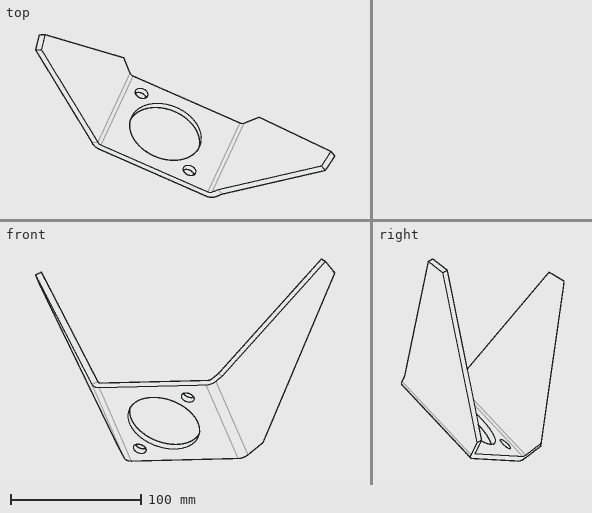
import cadquery as cq
import math

thickness = 5.0
inner_bend_radius = 3.7
outer_bend_radius = inner_bend_radius + thickness
bend_angle = 55

plate_length = 89.7
plate_width = 81.5
bore_diameter = 57.0
screw_hole_diameter = 10.1
bore_x = -4.1
screw_offset_x = 29.2
screw_offset_y = 27.4

wing_edge = plate_width / 2
corner_height = 15.6
tip_outer_across = -66.0
left_tip_inner_across = -52.7
left_tip_inner_height = 119.5
left_tip_outer_height = 115.7
right_tip_inner_across = -50.4
right_tip_inner_height = 127.5
right_tip_outer_height = 124.0
right_straight_height = 6.7

tilt_x = -44.0
tilt_y = -1.3
tilt_z = -23.7

sin_bend = math.sin(math.radians(bend_angle))
cos_bend = math.cos(math.radians(bend_angle))


def make_plate():
    """Flat plate with its outer face at Z = 0, a central bore and two diagonal screw holes."""
    plate = cq.Workplane("XY").box(plate_length, plate_width, thickness, centered=(True, True, False))
    bore = cq.Workplane("XY").center(bore_x, 0).circle(bore_diameter / 2).extrude(thickness)
    screw_holes = (
        cq.Workplane("XY")
        .center(bore_x, 0)
        .pushPoints([(-screw_offset_x, screw_offset_y), (screw_offset_x, -screw_offset_y)])
        .circle(screw_hole_diameter / 2)
        .extrude(thickness)
    )
    return plate.cut(bore).cut(screw_holes)


def make_bend():
    """Bend that curls upward from the +X edge of the plate."""
    section = (
        cq.Workplane("YZ", origin=(plate_length / 2, 0, 0))
        .center(0, thickness / 2)
        .rect(plate_width, thickness)
    )
    axis_height = outer_bend_radius - thickness / 2
    return section.revolve(bend_angle, (2.3, axis_height, 0), (-2.3, axis_height, 0))


def make_wing(outline):
    """Flat wing that continues the +X bend; outline points are (up the wing, across it)."""
    wing_plane = cq.Plane(
        origin=(
            plate_length / 2 + outer_bend_radius * sin_bend,
            0,
            outer_bend_radius * (1 - cos_bend),
        ),
        xDir=(cos_bend, 0, sin_bend),
        normal=(-sin_bend, 0, cos_bend),
    )
    return cq.Workplane(wing_plane).polyline(outline).close().extrude(thickness)


left_outline = [
    (0, -wing_edge),
    (0, wing_edge),
    (corner_height, wing_edge),
    (left_tip_inner_height, left_tip_inner_across),
    (left_tip_outer_height, tip_outer_across),
]
right_outline = [
    (0, -wing_edge),
    (0, wing_edge),
    (corner_height, wing_edge),
    (right_tip_inner_height, right_tip_inner_across),
    (right_tip_outer_height, tip_outer_across),
    (right_straight_height, -wing_edge),
]

bend = make_bend()
right_side = bend.union(make_wing(right_outline))
left_side = bend.union(make_wing(left_outline)).mirror("YZ")

result = (
    make_plate()
    .union(right_side)
    .union(left_side)
    .rotate((0, 0, 0), (1, 0, 0), tilt_x)
    .rotate((0, 0, 0), (0, 1, 0), tilt_y)
    .rotate((0, 0, 0), (0, 0, 1), tilt_z)
)